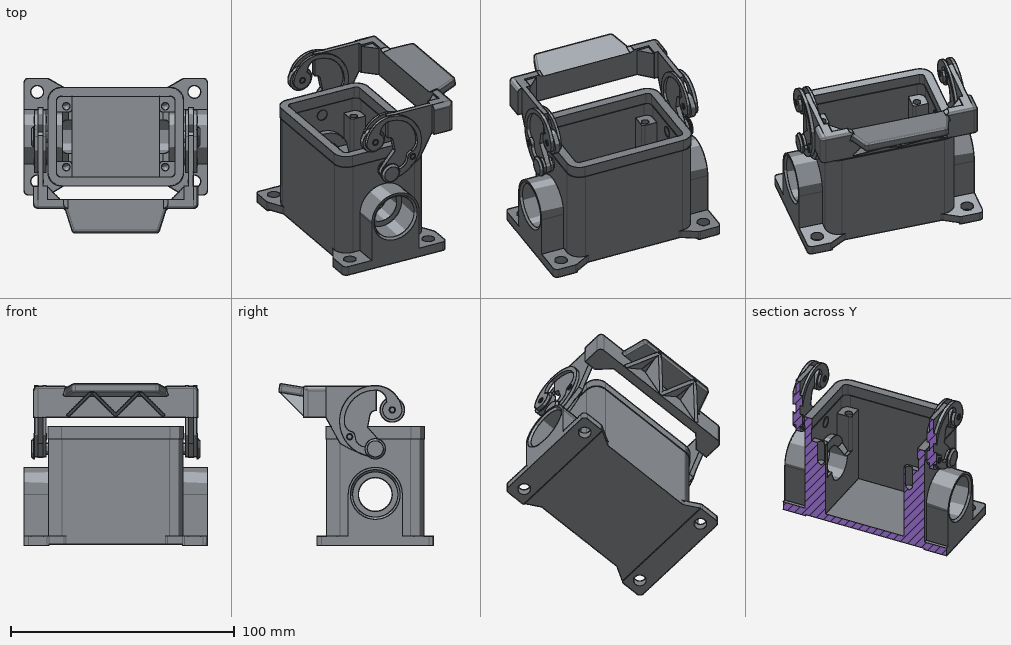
import cadquery as cq
import math

body_length = 60.2
body_width = 43.6
body_corner_radius = 6.1
body_bottom = 0.6
body_top = 53.3
rim_bottom = 47.8
rim_overhang = 0.25

opening_length = 52.8
opening_width = 36.0
opening_corner_radius = 1.8
cavity_relief = 0.3
cavity_corner_radius = 3.0
floor_top = 4.3

foot_length = 82.0
foot_width = 52.2
foot_top = 4.3
foot_corner_radius = 2.0
foot_inner_x = 30.3
foot_blend_x = 22.8
foot_blend_radius = 1.8
foot_pad_inner_x = 29.8
foot_hole_x = 35.1
foot_hole_y = 20.0
foot_hole_diameter = 5.6

entry_z = 22.9
entry_radius = 12.1
entry_bore_radius = 10.1
entry_chamfer = 1.0
entry_hole_radius = 7.5
entry_wall_outer_x = 28.5
entry_boss_inner_x = 23.9

post_inner_x = 19.6
post_inner_y = 11.1
post_top = 41.4
post_corner_radius = 1.2
screw_x = 22.1
screw_y = 13.6
screw_radius = 1.65
screw_depth = 10.0
saddle_flat_x = 21.2
saddle_peak_z = 26.8

arm_inner_x = 32.4
arm_outer_x = 34.7
hook_inner_x = 31.15
hook_outer_x = 36.2

pivot_z = 43.3
pivot_pin_radius = 2.5
pivot_head_radius = 4.55
pivot_head_chamfer = 0.95
pivot_head_outer_x = 37.7
arm_eye_radius = 3.8
arm_eye_tangent_angle = 42
arm_front_y = 0.45
arm_notch_top_z = 60.4
arm_notch_mid = (-1.3, 59.9)
arm_notch_end = (-2.3, 58.6)
arm_notch_corner = (-3.4, 52.9)
arm_heel_mid = (-10.0, 42.7)
arm_heel_end = (-15.7, 45.7)

hook_center_z = 55.65
hook_outer_radius = 15.95
hook_inner_radius = 13.85
roller_y = 7.6
roller_z = 60.7
roller_radius = 5.5
hook_eye_radius = 4.3
hook_throat_radius = 5.1
hook_throat_angle = 124
hook_neck_radius = 4.5
rivet_y = -11.45
rivet_z = 48.7
rivet_radius = 1.4
rivet_bore_radius = 1.1
rivet_projection = 0.25
rivet_boss_radius = 2.5

bridge_half_length = 36.75
bridge_front = -32.1
bridge_back = -22.1
bridge_bottom = 57.3
bridge_top = 71.3
bridge_side_radius = 2.1
bridge_front_radius = 1.0
bridge_recess_half_length = 30.6
bridge_recess_front = -28.0
gusset_leg = 5.75
gusset_top = 70.5

grip_angle = 9.5
grip_thickness = 4.0
grip_tip_y = -43.1
grip_tip_top = 72.42
grip_root_half_width = 22.3
grip_tip_half_width = 19.2
grip_flare = 1.2
grip_edge_radius = 0.8
grip_corner_radius = 1.6
grip_notch_floor_half_width = 21.4
grip_notch_top_half_width = 23.3
grip_notch_slope_height = 0.8

rib_count = 4
rib_pitch = 10.6
rib_thickness = 1.4
rib_low_z = 58.3
rib_slope_low_z = 58.0


def rounded_block(length, width, bottom, top, radius):
    block = cq.Workplane("XY").workplane(offset=bottom).rect(length, width).extrude(top - bottom)
    return block.edges("|Z").fillet(radius)


def cylinder_x(y, z, radius, start_x, end_x):
    return cq.Workplane("YZ", origin=(start_x, y, z)).circle(radius).extrude(end_x - start_x)


def both_ends(shape):
    return shape.union(shape.mirror("YZ"))


def make_shell():
    shell = rounded_block(body_length, body_width, body_bottom, body_top, body_corner_radius)
    rim = rounded_block(
        body_length + 2 * rim_overhang,
        body_width + 2 * rim_overhang,
        rim_bottom,
        body_top,
        body_corner_radius,
    )
    return shell.union(rim)


def make_cavity():
    opening = rounded_block(opening_length, opening_width, rim_bottom, body_top, opening_corner_radius)
    lower = rounded_block(
        opening_length + 2 * cavity_relief,
        opening_width + 2 * cavity_relief,
        floor_top,
        rim_bottom,
        cavity_corner_radius,
    )
    return opening.union(lower)


def make_feet():
    """Base pad under one end of the body with two drilled corners."""
    half_width = foot_width / 2
    side_y = body_width / 2
    root_x = foot_blend_x - foot_blend_radius
    outline = [
        (root_x, -side_y),
        (foot_blend_x, -side_y),
        (foot_inner_x, -half_width),
        (foot_length / 2, -half_width),
        (foot_length / 2, half_width),
        (foot_inner_x, half_width),
        (foot_blend_x, side_y),
        (root_x, side_y),
    ]
    pad = cq.Workplane("XY").polyline(outline).close().extrude(foot_top)
    pad = pad.edges("|Z and >X").fillet(foot_corner_radius)
    blend_zone = cq.selectors.BoxSelector(
        (foot_blend_x - foot_blend_radius / 2, -foot_width, -foot_top),
        (foot_inner_x + foot_blend_radius / 2, foot_width, 2 * foot_top),
    )
    pad = pad.edges("|Z").edges(blend_zone).fillet(foot_blend_radius)
    step = cq.Workplane("XY").rect(2 * foot_pad_inner_x, foot_width).extrude(body_bottom)
    holes = (
        cq.Workplane("XY")
        .pushPoints([(foot_hole_x, -foot_hole_y), (foot_hole_x, foot_hole_y)])
        .circle(foot_hole_diameter / 2)
        .extrude(foot_top)
    )
    return pad.cut(step).cut(holes)


def make_entry():
    """Arched cable entry outside the end wall, with its boss inside the cavity."""
    length = foot_length / 2 - entry_boss_inner_x
    barrel = cylinder_x(0, entry_z, entry_radius, entry_boss_inner_x, foot_length / 2)
    height = entry_z - body_bottom
    leg = cq.Workplane("XY").box(length, 2 * entry_radius, height, centered=(False, True, False))
    return barrel.union(leg.translate((entry_boss_inner_x, 0, body_bottom)))


def make_entry_bore():
    """Stepped bore of one cable entry with a chamfered mouth."""
    entry_end_x = foot_length / 2
    bore = cylinder_x(0, entry_z, entry_bore_radius, entry_wall_outer_x, entry_end_x)
    mouth = cq.Solid.makeCone(
        entry_bore_radius,
        entry_bore_radius + entry_chamfer,
        entry_chamfer,
        pnt=(entry_end_x - entry_chamfer, 0, entry_z),
        dir=(1, 0, 0),
    )
    through = cylinder_x(0, entry_z, entry_hole_radius, 0, entry_end_x)
    return bore.union(cq.Workplane(mouth)).union(through)


def make_posts():
    """Pair of screw posts and the sloped saddle between them."""
    outer_x = opening_length / 2 + cavity_relief
    outer_y = opening_width / 2 + cavity_relief
    posts = cq.Workplane("XY")
    for side in (-1, 1):
        center = ((post_inner_x + outer_x) / 2, side * (post_inner_y + outer_y) / 2)
        post = (
            cq.Workplane("XY", origin=(center[0], center[1], body_bottom))
            .rect(outer_x - post_inner_x, outer_y - post_inner_y)
            .extrude(post_top - body_bottom)
        )
        inner_edge = "|Z and <X and <Y" if side > 0 else "|Z and <X and >Y"
        post = post.edges(inner_edge).fillet(post_corner_radius)
        posts = posts.add(post)
    saddle_outline = [
        (post_inner_x, body_bottom),
        (post_inner_x, entry_z),
        (saddle_flat_x, entry_z),
        (entry_boss_inner_x, saddle_peak_z),
        (outer_x, saddle_peak_z),
        (outer_x, body_bottom),
    ]
    saddle = (
        cq.Workplane("XZ", origin=(0, post_inner_y + post_corner_radius, 0))
        .polyline(saddle_outline)
        .close()
        .extrude(2 * (post_inner_y + post_corner_radius))
    )
    return posts.combine().union(saddle)


def make_screw_holes():
    points = [(screw_x, -screw_y), (screw_x, screw_y)]
    bottom = post_top - screw_depth
    drill = cq.Workplane("XY").workplane(offset=bottom).pushPoints(points).circle(screw_radius)
    drill = drill.extrude(screw_depth)
    for x, y in points:
        point = cq.Solid.makeCone(0, screw_radius, screw_radius, pnt=(x, y, bottom - screw_radius))
        drill = drill.union(cq.Workplane(point))
    return drill


def make_housing():
    housing = make_shell().union(both_ends(make_feet())).union(both_ends(make_entry()))
    inner_bosses = both_ends(make_entry().union(make_posts())).intersect(make_cavity())
    housing = housing.cut(make_cavity()).union(inner_bosses)
    return housing.cut(both_ends(make_entry_bore())).cut(both_ends(make_screw_holes()))


def make_arm():
    """Flat lever arm running from the pivot to the bridge."""
    tangent_angle = math.radians(arm_eye_tangent_angle)
    eye_tangent = (
        arm_eye_radius * math.cos(tangent_angle),
        pivot_z + arm_eye_radius * math.sin(tangent_angle),
    )
    arm = (
        cq.Workplane("YZ", origin=(arm_inner_x, 0, 0))
        .moveTo(bridge_recess_front, bridge_top)
        .lineTo(arm_front_y, bridge_top)
        .lineTo(arm_front_y, arm_notch_top_z)
        .threePointArc(arm_notch_mid, arm_notch_end)
        .lineTo(*arm_notch_corner)
        .lineTo(*eye_tangent)
        .lineTo(0, pivot_z - arm_eye_radius)
        .threePointArc(arm_heel_mid, arm_heel_end)
        .lineTo(bridge_back, bridge_bottom)
        .lineTo(bridge_recess_front, bridge_bottom)
        .close()
        .extrude(arm_outer_x - arm_inner_x)
    )
    return arm.union(cylinder_x(0, pivot_z, arm_eye_radius, arm_inner_x, arm_outer_x))


def make_hook(start_x, end_x):
    """Crescent plate from the pivot round to the roller eye."""
    diagonal = math.sqrt(0.5)
    outer_top = hook_center_z + hook_outer_radius
    outer_bottom = hook_center_z - hook_outer_radius
    inner_top = hook_center_z + hook_inner_radius
    throat_z = inner_top - hook_throat_radius
    throat_angle = math.radians(hook_throat_angle)
    throat_start = (
        roller_y + hook_eye_radius * math.cos(throat_angle),
        roller_z + hook_eye_radius * math.sin(throat_angle),
    )
    boss_side_y = rivet_y + rivet_boss_radius
    neck_y = boss_side_y + hook_neck_radius
    plate = (
        cq.Workplane("YZ", origin=(start_x, 0, 0))
        .moveTo(0, outer_bottom)
        .threePointArc((-hook_outer_radius, hook_center_z), (0, outer_top))
        .tangentArcPoint((roller_y + hook_eye_radius, roller_z), relative=False)
        .threePointArc((roller_y, roller_z - hook_eye_radius), throat_start)
        .lineTo(hook_throat_radius, throat_z)
        .threePointArc(
            (hook_throat_radius * diagonal, throat_z + hook_throat_radius * diagonal),
            (0, inner_top),
        )
        .threePointArc(
            (-hook_inner_radius * diagonal, hook_center_z + hook_inner_radius * diagonal),
            (-hook_inner_radius, hook_center_z),
        )
        .tangentArcPoint((rivet_y, rivet_z + rivet_boss_radius), relative=False)
        .threePointArc(
            (rivet_y + rivet_boss_radius * diagonal, rivet_z + rivet_boss_radius * diagonal),
            (boss_side_y, rivet_z),
        )
        .threePointArc(
            (neck_y - hook_neck_radius * diagonal, rivet_z - hook_neck_radius * diagonal),
            (neck_y, rivet_z - hook_neck_radius),
        )
        .lineTo(0, rivet_z - hook_neck_radius)
        .close()
        .extrude(end_x - start_x)
    )
    pivot_eye = cylinder_x(0, pivot_z, pivot_z - outer_bottom, start_x, end_x)
    return plate.union(pivot_eye)


def make_rivet(y, z):
    start_x = hook_inner_x - rivet_projection
    end_x = hook_outer_x + rivet_projection
    rivet = cylinder_x(y, z, rivet_radius, start_x, end_x)
    inner_dimple = cylinder_x(y, z, rivet_bore_radius, start_x, hook_inner_x)
    outer_dimple = cylinder_x(y, z, rivet_bore_radius, hook_outer_x, end_x)
    return rivet.cut(inner_dimple).cut(outer_dimple)


def make_pivot():
    pin = cylinder_x(0, pivot_z, pivot_pin_radius, opening_length / 2, hook_outer_x)
    head = cylinder_x(0, pivot_z, pivot_head_radius, hook_outer_x, pivot_head_outer_x)
    return pin.union(head.faces(">X").chamfer(pivot_head_chamfer))


def make_latch_side():
    """Arm, two hook plates, roller, rivets and pivot at one end."""
    latch = make_arm()
    latch = latch.union(make_hook(hook_inner_x, arm_inner_x))
    latch = latch.union(make_hook(arm_outer_x, hook_outer_x))
    latch = latch.union(cylinder_x(roller_y, roller_z, roller_radius, arm_inner_x, arm_outer_x))
    latch = latch.union(make_rivet(roller_y, roller_z))
    latch = latch.union(make_rivet(rivet_y, rivet_z))
    return latch.union(make_pivot())


def make_bridge_recess():
    depth = bridge_back - bridge_recess_front
    height = bridge_top - bridge_bottom
    recess = cq.Workplane("XY").box(
        2 * bridge_recess_half_length, depth, height, centered=(True, False, False)
    )
    return recess.translate((0, bridge_recess_front, bridge_bottom))


def make_bridge():
    """U-shaped cross bar with low gussets in its inner corners."""
    depth = bridge_back - bridge_front
    height = bridge_top - bridge_bottom
    bar = cq.Workplane("XY").box(2 * bridge_half_length, depth, height, centered=(True, False, False))
    bar = bar.translate((0, bridge_front, bridge_bottom))
    round_ends = bar.edges("|Z and <Y").fillet(bridge_side_radius)
    round_top = bar.faces(">Z").edges("|Y").fillet(bridge_side_radius)
    bar = round_ends.intersect(round_top)
    bar = bar.edges("|X and >Z and <Y").fillet(bridge_front_radius)
    bar = bar.cut(make_bridge_recess())
    corner_x = bridge_recess_half_length
    gusset = (
        cq.Workplane("XY", origin=(0, 0, bridge_bottom))
        .moveTo(corner_x, bridge_recess_front)
        .lineTo(corner_x - gusset_leg, bridge_recess_front)
        .lineTo(corner_x, bridge_recess_front + gusset_leg)
        .close()
        .extrude(gusset_top - bridge_bottom)
    )
    return bar.union(both_ends(gusset))


def grip_plane():
    """Tilted plane of the grip's upper face; local Y points back toward the bridge."""
    tilt = math.radians(grip_angle)
    tip_y = grip_tip_y + (grip_thickness - grip_edge_radius) * math.sin(tilt)
    tip_y += grip_edge_radius * (1 - math.cos(tilt))
    tip_z = grip_tip_top + grip_edge_radius * (math.sin(tilt) + math.cos(tilt) - 1)
    normal = (0, math.sin(tilt), math.cos(tilt))
    return cq.Plane(origin=(0, tip_y, tip_z), xDir=(1, 0, 0), normal=normal)


def make_grip():
    plane = grip_plane()
    tilt = math.radians(grip_angle)
    neck = (bridge_front - grip_tip_y) / math.cos(tilt)
    root = (bridge_recess_front - grip_tip_y) / math.cos(tilt) + grip_thickness * math.sin(tilt)
    flare_half_width = grip_root_half_width + grip_flare
    grip = (
        cq.Workplane(plane)
        .lineTo(grip_tip_half_width, 0)
        .lineTo(grip_root_half_width, neck - grip_flare)
        .tangentArcPoint((flare_half_width, neck), relative=False)
        .lineTo(flare_half_width, root)
        .lineTo(0, root)
        .mirrorY()
        .extrude(-grip_thickness)
    )
    grip = grip.faces("<Y").edges("not |X").fillet(grip_corner_radius)
    return grip.faces(">Z or <Z").edges("not >Y").fillet(grip_edge_radius)


def make_grip_notch():
    """Slope-sided channel above the grip's upper face where it runs through the bridge."""
    face = grip_plane()
    section_plane = cq.Plane(origin=face.origin, xDir=face.xDir, normal=-face.yDir)
    return (
        cq.Workplane(section_plane)
        .lineTo(grip_notch_floor_half_width, 0)
        .lineTo(grip_notch_top_half_width, grip_notch_slope_height)
        .lineTo(grip_notch_top_half_width, bridge_top - bridge_bottom)
        .lineTo(0, bridge_top - bridge_bottom)
        .mirrorY()
        .extrude(grip_tip_y - bridge_back)
    )


def make_ribs():
    """Zigzag of diagonal ribs under the grip, cut off by a 45 degree front slope."""
    reach = bridge_front - grip_tip_y
    span = rib_pitch + rib_thickness / 2
    ribs = cq.Workplane("XY")
    for index in range(rib_count):
        start_x = (index - rib_count / 2) * rib_pitch
        angle = 45 if index % 2 == 0 else -45
        rib = (
            cq.Workplane("XZ", origin=(start_x + rib_pitch / 2, bridge_front, rib_low_z + rib_pitch / 2))
            .transformed(rotate=(0, 0, angle))
            .rect(span * math.sqrt(2), rib_thickness)
            .extrude(reach)
        )
        ribs = ribs.add(rib)
    slope = (
        cq.Workplane("YZ", origin=(-bridge_half_length, 0, 0))
        .moveTo(bridge_front, rib_slope_low_z)
        .lineTo(grip_tip_y, rib_slope_low_z + reach)
        .lineTo(bridge_front, rib_slope_low_z + reach)
        .close()
        .extrude(2 * bridge_half_length)
    )
    return ribs.combine().intersect(slope)


def make_lever():
    bridge = make_bridge().cut(make_grip_notch())
    grip = make_grip().cut(make_bridge_recess())
    return bridge.union(grip).union(make_ribs()).union(both_ends(make_latch_side()))


result = make_housing().union(make_lever())